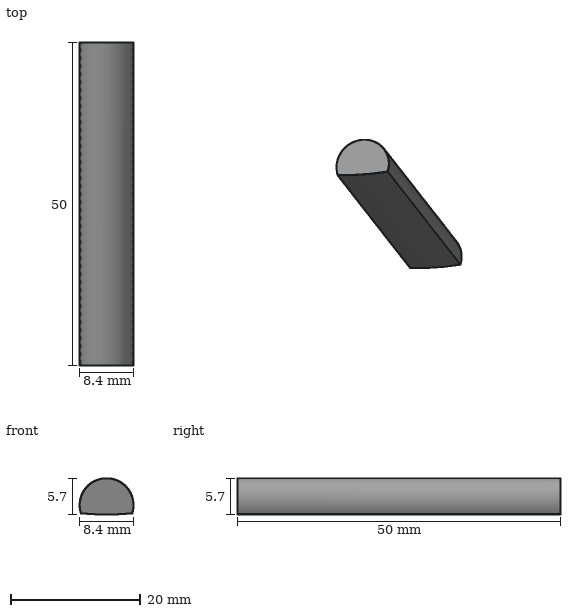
import cadquery as cq
import math

length = 50.0
width = 8.4
height = 5.7
base_bulge = 0.2
end_chamfer = 0.075

radius = width / 2
edge_z = radius - height + base_bulge
edge_x = math.sqrt(radius**2 - edge_z**2)

section = (
    cq.Workplane("XZ")
    .moveTo(-edge_x, edge_z)
    .threePointArc((0, radius), (edge_x, edge_z))
    .threePointArc((0, edge_z - base_bulge), (-edge_x, edge_z))
    .close()
)

bar = section.extrude(length / 2, both=True)
result = bar.faces("<Y or >Y").chamfer(end_chamfer)